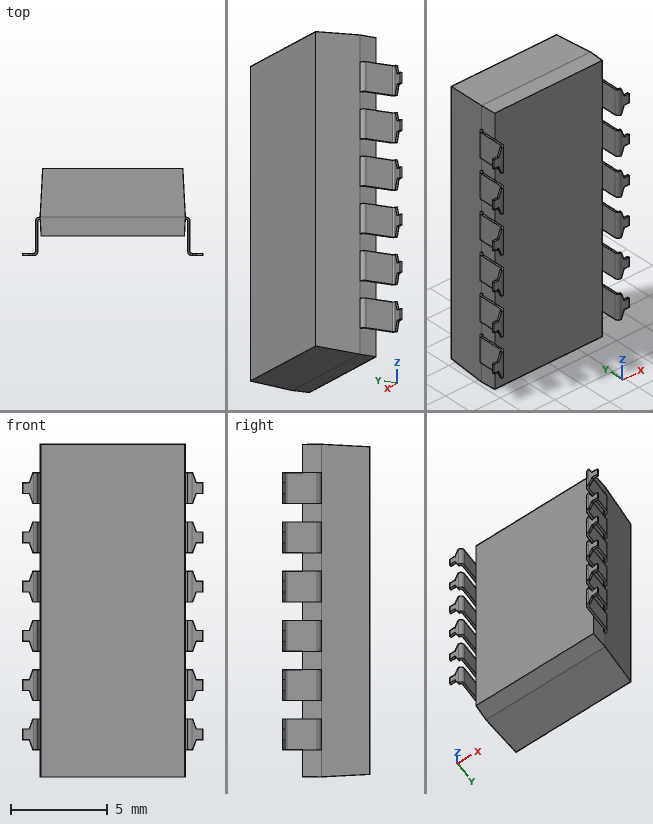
import cadquery as cq
import math

body_width = 7.5
body_length = 17.17
back_depth = 2.5
front_depth = 0.98
draft_angle = 3.0
end_draft_angle = 0.5

lead_count = 6
lead_pitch = 2.54
lead_row_offset = -0.03
lead_width = 1.6
lead_thickness = 0.12
bend_radius = 0.22
leg_outer_x = 3.98
tip_x = 4.65
foot_y = -2.0
root_x = body_width / 2 - 0.35

shoulder_length = 0.53
neck_length = 0.35
neck_width = 0.57


def body_half(depth, side_draft, end_draft):
    """Half of the body, narrowing away from the parting plane; towards -Y when depth is positive."""
    side_inset = abs(depth) * math.tan(math.radians(side_draft))
    end_inset = abs(depth) * math.tan(math.radians(end_draft))
    return (
        cq.Workplane("XZ")
        .rect(body_width, body_length)
        .workplane(offset=depth)
        .rect(body_width - 2 * side_inset, body_length - 2 * end_inset)
        .loft(ruled=True)
    )


def lead_strip():
    """Z-shaped bent strip of full lead width, centred on Z = 0, on the +X side."""
    leg_inner_x = leg_outer_x - lead_thickness
    leg_length = -foot_y - lead_thickness
    inner_radius = bend_radius - lead_thickness
    strip = (
        cq.Workplane("XY")
        .moveTo(root_x, 0)
        .lineTo(leg_outer_x, 0)
        .lineTo(leg_outer_x, -leg_length)
        .lineTo(tip_x, -leg_length)
        .lineTo(tip_x, foot_y)
        .lineTo(leg_inner_x, foot_y)
        .lineTo(leg_inner_x, -lead_thickness)
        .lineTo(root_x, -lead_thickness)
        .close()
        .extrude(lead_width / 2, both=True)
    )

    def round_edge(shape, x, y, radius):
        return shape.edges(cq.NearestToPointSelector((x, y, 0))).fillet(radius)

    strip = round_edge(strip, leg_outer_x, 0, bend_radius)
    strip = round_edge(strip, leg_inner_x, -lead_thickness, inner_radius)
    strip = round_edge(strip, leg_inner_x, foot_y, bend_radius)
    return round_edge(strip, leg_outer_x, -leg_length, inner_radius)


def lead_outline():
    """Prism with the lead's outline seen along Y, used to trim the foot."""
    shoulder_x = tip_x - shoulder_length
    neck_x = tip_x - neck_length
    return (
        cq.Workplane("XZ")
        .moveTo(root_x, lead_width / 2)
        .lineTo(shoulder_x, lead_width / 2)
        .lineTo(neck_x, neck_width / 2)
        .lineTo(tip_x, neck_width / 2)
        .lineTo(tip_x, -neck_width / 2)
        .lineTo(neck_x, -neck_width / 2)
        .lineTo(shoulder_x, -lead_width / 2)
        .lineTo(root_x, -lead_width / 2)
        .close()
        .extrude(-foot_y)
    )


front_half = body_half(front_depth, draft_angle, end_draft_angle)
back_half = body_half(-back_depth, draft_angle, draft_angle)
result = front_half.union(back_half)

right_lead = lead_strip().intersect(lead_outline())
left_lead = right_lead.mirror("YZ")
for index in range(lead_count):
    lead_z = (index - (lead_count - 1) / 2) * lead_pitch + lead_row_offset
    for lead in (right_lead, left_lead):
        result = result.union(lead.translate((0, 0, lead_z)))